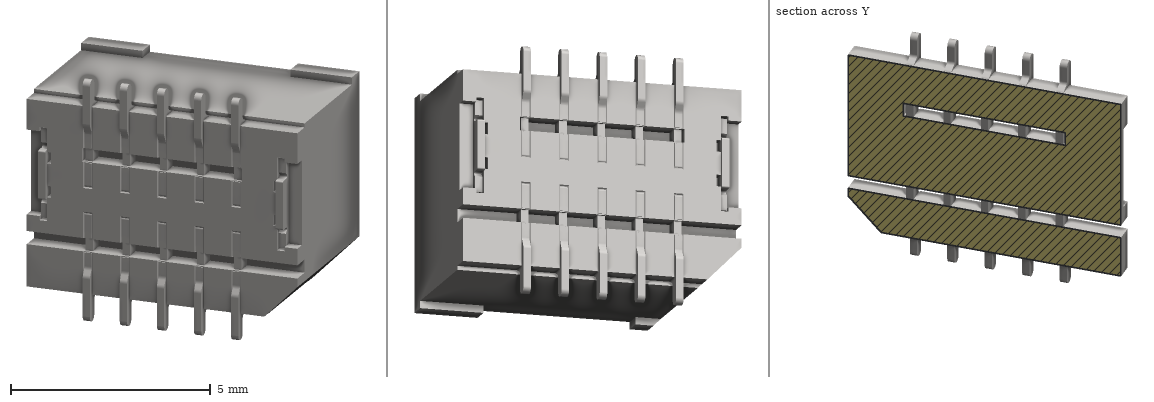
import cadquery as cq
import math


width = 7.3
overall_height = 6.4
overall_depth = 4.35
standoff = 0.1
housing_depth = overall_depth - standoff
housing_height = 5.18
block_height = 4.97
block_depth = 0.5
flange_height = 5.56
flange_depth = 0.52
flange_width = 1.66
corner_cut = 1.19

trough_inner_z = 1.015
trough_outer_z = 1.365
trough_depth = 0.5
upper_trough_width = 4.315

contact_count = 5
pitch = 1.0
contact_width = 0.2
slot_bevel = 0.03
slot_width = contact_width + 2 * slot_bevel
slot_inner_z = 0.315
contact_recess = 0.015
notch_recess = 0.1
notch_run = 0.03
contact_back = 0.48
foot_thickness = 0.3
foot_bend_z = 2.05
bend_radius = 0.175
bend_angle = math.radians(30)
shoulder_z = 2.605
shoulder_radius = 0.1
heel_radius = 0.14
inner_end_radius = 0.05

tab_center_z = 0.55
tab_slot_x = 3.3
tab_thickness = 0.2
tab_slot_length = 2.47
tab_length = 2.38
tab_depth = 0.3
tab_foot_length = 1.3
tab_recess = 0.1
relief_depth = 0.09
relief_length = 0.15
relief_radius = 0.05
foot_corner_radius = 0.045
end_recess_length = 2.25
pocket_width = 0.11
pocket_inner_z = 0.3
pocket_outer_z = 0.6


def box(x_range, y_range, z_range):
    """Box spanning the given coordinate ranges."""
    (x0, x1), (y0, y1), (z0, z1) = x_range, y_range, z_range
    return cq.Workplane("XY").box(x1 - x0, y1 - y0, z1 - z0, centered=False).translate((x0, y0, z0))


def rounded_plate(corners, x_start, thickness):
    """Plate across X whose (y, z, radius) outline has its corners rounded by tangent arcs."""
    rounds = []
    for i, (y, z, radius) in enumerate(corners):
        before = corners[i - 1]
        after = corners[(i + 1) % len(corners)]
        corner = cq.Vector(y, z)
        to_before = (cq.Vector(before[0], before[1]) - corner).normalized()
        to_after = (cq.Vector(after[0], after[1]) - corner).normalized()
        half_angle = to_before.getAngle(to_after) / 2
        setback = radius / math.tan(half_angle)
        arc_start = corner + to_before * setback
        arc_end = corner + to_after * setback
        bisector = (to_before + to_after).normalized()
        arc_middle = corner + bisector * (radius / math.sin(half_angle) - radius)
        rounds.append((arc_start.toTuple()[:2], arc_middle.toTuple()[:2], arc_end.toTuple()[:2]))
    path = cq.Workplane("YZ", origin=(x_start, 0, 0)).moveTo(*rounds[-1][2])
    for arc_start, arc_middle, arc_end in rounds:
        path = path.lineTo(*arc_start)
        if arc_start != arc_end:
            path = path.threePointArc(arc_middle, arc_end)
    return path.wire().extrude(thickness)


def make_housing():
    """Stepped block with corner flanges and one cut corner."""
    half = width / 2
    body = box((-half, half), (block_depth, housing_depth), (-housing_height / 2, housing_height / 2))
    body = body.union(box((-half, half), (0, block_depth), (-block_height / 2, block_height / 2)))
    for x_range in ((-half, -half + flange_width), (half - flange_width, half)):
        y_range = (housing_depth - flange_depth, housing_depth)
        body = body.union(box(x_range, y_range, (-flange_height / 2, flange_height / 2)))
    bottom = -flange_height / 2
    wedge = (
        cq.Workplane("XZ")
        .polyline([(half - corner_cut, bottom), (half, bottom), (half, bottom + corner_cut)])
        .close()
        .extrude(-housing_depth)
    )
    return body.cut(wedge)


def cut_troughs(body):
    """Upper trough just spans the contacts; the lower one runs the full width."""
    for trough_width, z_range in (
        (upper_trough_width, (trough_inner_z, trough_outer_z)),
        (width, (-trough_outer_z, -trough_inner_z)),
    ):
        body = body.cut(box((-trough_width / 2, trough_width / 2), (0, trough_depth), z_range))
    return body


def make_contact(x):
    """Upper-row contact at x: a bent plate with its foot pointing up."""
    inner_end = slot_inner_z + slot_bevel
    foot_back = foot_thickness - standoff
    tip_radius = foot_thickness / 2
    tip_z = overall_height / 2 - tip_radius
    bend_setback = bend_radius * math.tan(bend_angle / 2)
    slope_top = foot_bend_z - bend_setback
    slope_bottom = slope_top - (standoff + contact_recess) / math.tan(bend_angle)
    outline = [
        (-standoff, tip_z, 0),
        (-standoff, slope_top, bend_radius),
        (contact_recess, slope_bottom, bend_radius),
        (contact_recess, trough_outer_z + notch_run, 0),
        (notch_recess, trough_outer_z, 0),
        (notch_recess, trough_inner_z, 0),
        (contact_recess, trough_inner_z - notch_run, 0),
        (contact_recess, inner_end, inner_end_radius),
        (contact_back, inner_end, 0),
        (contact_back, block_height / 2, heel_radius),
        (foot_back, shoulder_z, shoulder_radius),
        (foot_back, tip_z, 0),
    ]
    left = x - contact_width / 2
    tip = (
        cq.Workplane("YZ", origin=(left, 0, 0))
        .center(tip_radius - standoff, tip_z)
        .circle(tip_radius)
        .extrude(contact_width)
    )
    return rounded_plate(outline, left, contact_width).union(tip)


def make_slot(x):
    """Bevelled mouth of an upper-row slot at x, running out through the top of the block."""
    outer_z = block_height / 2 + slot_bevel
    return (
        cq.Workplane("XZ")
        .center(x, (slot_inner_z + outer_z) / 2)
        .rect(slot_width, outer_z - slot_inner_z)
        .extrude(-slot_bevel, taper=45)
    )


def add_contacts(body):
    """Two mirrored rows of contacts, each in its own slot."""
    for i in range(contact_count):
        x = (i - (contact_count - 1) / 2) * pitch
        slot = make_slot(x)
        contact = make_contact(x)
        body = body.cut(slot).cut(slot.mirror("XY"))
        body = body.union(contact).union(contact.mirror("XY"))
    return body


def make_tab():
    """Hold-down tab at the -X end with a square foot between two relief grooves."""
    foot = tab_foot_length / 2
    end = tab_length / 2
    groove = tab_recess + relief_depth
    upper = [
        (tab_depth, end, 0),
        (tab_recess, end, 0),
        (tab_recess, foot + relief_length, 0),
        (groove, foot + relief_length / 2, relief_radius),
        (groove, foot, relief_radius),
        (-standoff, foot, foot_corner_radius),
    ]
    lower = [(y, -z, radius) for y, z, radius in reversed(upper)]
    tab = rounded_plate(upper + lower, -tab_slot_x, tab_thickness)
    return tab.translate((0, 0, tab_center_z))


def make_tab_opening():
    """Slot, end-wall opening and two small pockets around the -X tab."""
    inner_x = -tab_slot_x + tab_thickness
    y_range = (0, tab_depth)
    opening = box((-tab_slot_x, inner_x), y_range, (-tab_slot_length / 2, tab_slot_length / 2))
    end_z = (-end_recess_length / 2, end_recess_length / 2)
    opening = opening.union(box((-width / 2, -tab_slot_x), y_range, end_z))
    pocket = box((inner_x, inner_x + pocket_width), y_range, (pocket_inner_z, pocket_outer_z))
    opening = opening.union(pocket).union(pocket.mirror("XY"))
    return opening.translate((0, 0, tab_center_z))


def add_tabs(body):
    """Matching tabs at both ends."""
    opening = make_tab_opening()
    tab = make_tab()
    body = body.cut(opening).cut(opening.mirror("YZ"))
    return body.union(tab).union(tab.mirror("YZ"))


housing = cut_troughs(make_housing())
result = add_tabs(add_contacts(housing))